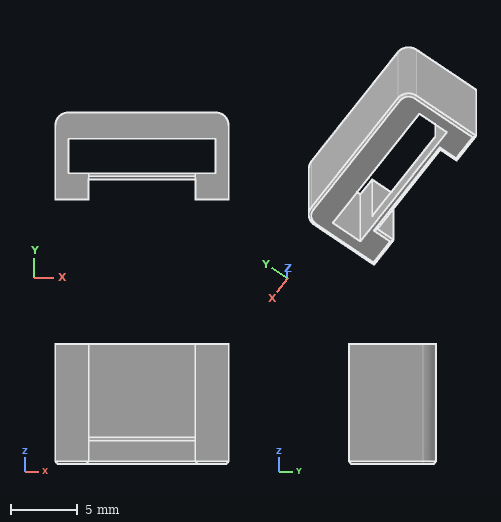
import cadquery as cq

width = 13.0
height = 9.0
side_wall = 1.0
back_wall = 2.0
cavity_depth = 2.55
lip_depth = 2.0
depth = back_wall + cavity_depth + lip_depth
corner_radius = 1.0
bottom_chamfer = 0.2

opening_width = 8.0
bar_depth = 0.5
bar_height = 2.0
bar_chamfer = 0.25

cavity_front = lip_depth
bar_front = cavity_front - bar_depth


def make_body():
    """Block with a front recess, rounded back corners and a chamfered bottom outline."""
    block = cq.Workplane("XY").box(width, depth, height, centered=(True, False, False))
    block = block.edges("|Z and >Y").fillet(corner_radius)
    recess = cq.Workplane("XY").box(opening_width, bar_front, height, centered=(True, False, False))
    return block.cut(recess).faces("<Z").chamfer(bottom_chamfer)


def make_cavity():
    """Rectangular pocket running through the full height, with sharp bottom edges."""
    return (
        cq.Workplane("XY")
        .box(width - 2 * side_wall, cavity_depth, height, centered=(True, False, False))
        .translate((0, cavity_front, 0))
    )


def make_bar_clearance():
    """Space above the bar, shaped to leave a bevel on its upper front edge."""
    return (
        cq.Workplane("YZ")
        .moveTo(bar_front, height)
        .lineTo(bar_front, bar_height - bar_chamfer)
        .lineTo(bar_front + bar_chamfer, bar_height)
        .lineTo(cavity_front, bar_height)
        .lineTo(cavity_front, height)
        .close()
        .extrude(opening_width / 2, both=True)
    )


result = make_body().cut(make_cavity()).cut(make_bar_clearance())